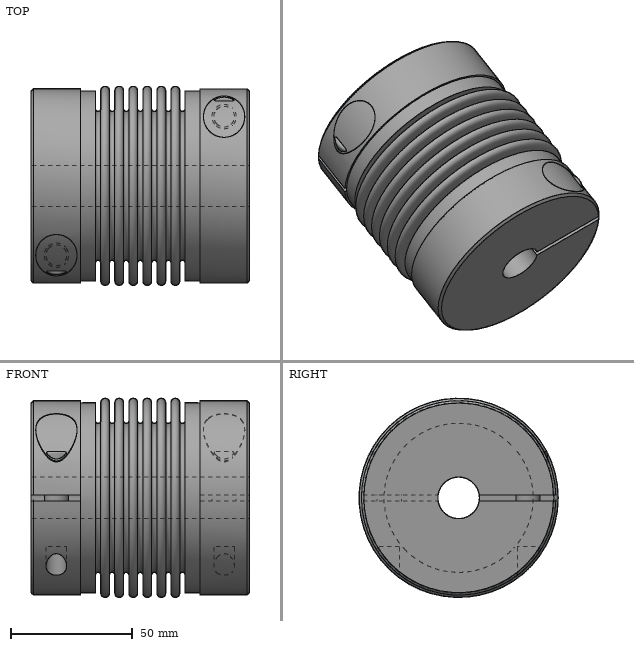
import cadquery as cq

length = 90.0
bellows_diameter = 82.0
bore_diameter = 17.0

collar_diameter = 80.0
collar_length = 20.5
collar_chamfer = 1.0
neck_diameter = 78.32
neck_end = 26.6

rib_count = 6
rib_width = 3.65
root_diameter = 61.4
bellows_length = length - 2 * neck_end
gap_width = (bellows_length - rib_count * rib_width) / (rib_count + 1)

slit_width = 2.5
screw_x = 10.5
screw_offset = 28.5
screw_diameter = 10.0
pocket_diameter = 17.0
pocket_floor_diameter = 79.7
head_diameter = 16.0
head_top = 19.1
head_height = 10.0
head_edge_radius = 1.0
thread_hole_diameter = 8.5
thread_hole_top = -20.0


def disc(diameter, start, end):
    """Cylinder around the shaft axis between two X positions."""
    plane = cq.Plane(origin=(start, 0, 0), xDir=(0, -1, 0), normal=(1, 0, 0))
    return cq.Workplane(plane).circle(diameter / 2).extrude(end - start)


def upright_cylinder(diameter, bottom, top):
    """Cylinder around the clamp screw axis between two Z heights."""
    base = cq.Workplane("XY", origin=(screw_x, -screw_offset, bottom))
    return base.circle(diameter / 2).extrude(top - bottom)


def make_pocket():
    """Shallow round recess over the screw, its floor concentric with the shaft axis."""
    pocket = upright_cylinder(pocket_diameter, 0, collar_diameter / 2)
    return pocket.cut(disc(pocket_floor_diameter, 0, collar_length))


def make_slit():
    """Radial clamp slit on the -Y side, cut over the full collar length."""
    depth = collar_diameter / 2
    slit = cq.Workplane("XY").box(collar_length, depth, slit_width, centered=(False, False, True))
    return slit.translate((0, -depth, 0))


def make_screw():
    """Cap screw whose rounded head stands slightly out of the collar; its shank crosses the slit."""
    head_bottom = head_top - head_height
    head = upright_cylinder(head_diameter, head_bottom, head_top)
    head = head.faces(">Z").edges().fillet(head_edge_radius)
    return head.union(upright_cylinder(screw_diameter, thread_hole_top, head_bottom))


def make_hub():
    """Left hub: chamfered collar with neck, slit, thread hole, recess and clamp screw."""
    collar = disc(collar_diameter, 0, collar_length).faces("<X").chamfer(collar_chamfer)
    neck = disc(neck_diameter, collar_length, neck_end)
    thread_hole = upright_cylinder(thread_hole_diameter, -collar_diameter / 2, thread_hole_top)
    body = collar.union(neck).cut(make_slit()).cut(thread_hole).cut(make_pocket())
    return body.union(make_screw())


def make_bellows():
    """Revolved bellows: ribs with round crests, joined by grooves with round roots."""
    root = root_diameter / 2
    crest = bellows_diameter / 2
    gap_radius = gap_width / 2
    rib_radius = rib_width / 2
    end = length - neck_end
    x = neck_end
    profile = cq.Workplane("XY").moveTo(x, 0).lineTo(x, root + gap_radius)
    for _ in range(rib_count):
        profile = profile.threePointArc((x + gap_radius, root), (x + gap_width, root + gap_radius))
        x += gap_width
        profile = profile.lineTo(x, crest - rib_radius)
        profile = profile.threePointArc((x + rib_radius, crest), (x + rib_width, crest - rib_radius))
        x += rib_width
        profile = profile.lineTo(x, root + gap_radius)
    profile = profile.threePointArc((end - gap_radius, root), (end, root + gap_radius))
    return profile.lineTo(end, 0).close().revolve(360, (0, 0, 0), (1, 0, 0))


left_hub = make_hub()
middle = length / 2
right_hub = left_hub.rotate((middle, 0, 0), (middle, 0, 1), 180)
bore = disc(bore_diameter, 0, length)

result = left_hub.union(make_bellows()).union(right_hub).cut(bore)